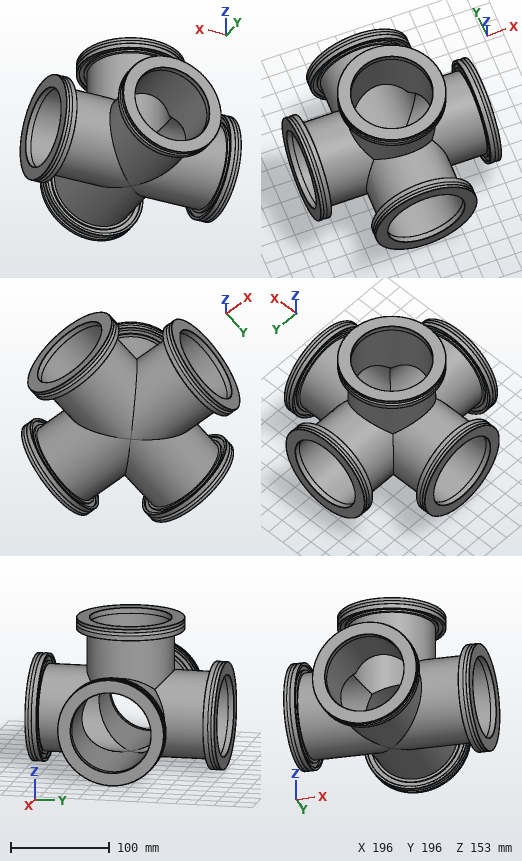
import cadquery as cq

SPAN = 196.0
REACH = SPAN / 2

TUBE_RADIUS = 44.5
TUBE_WALL = 3.0
BORE_RADIUS = TUBE_RADIUS - TUBE_WALL

FLANGE_DIAMETER = 110.0
FLANGE_RADIUS = FLANGE_DIAMETER / 2
FLANGE_THICKNESS = 12.0
SOCKET_DEPTH = FLANGE_THICKNESS / 2
EDGE_CHAMFER = 0.4

GROOVE_CENTRE = 5.0
GROOVE_RADIUS = 1.67

RELIEF_INNER_RADIUS = 47.5
RELIEF_OUTER_RADIUS = 52.1
RELIEF_DEPTH = 2.0

PORT_DIRECTIONS = [(1, 0, 0), (-1, 0, 0), (0, 1, 0), (0, -1, 0), (0, 0, 1)]

TUBE_REACH = REACH - FLANGE_THICKNESS + SOCKET_DEPTH


def cross_rods(radius, reach):
    """Two full-length crossed cylinders and one upward one, joined, all of one radius."""
    rod_x = cq.Workplane("YZ").circle(radius).extrude(reach, both=True)
    rod_y = cq.Workplane("XZ").circle(radius).extrude(reach, both=True)
    rod_z = cq.Workplane("XY").circle(radius).extrude(reach)
    return rod_x.union(rod_y).union(rod_z)


def make_manifold():
    """Five-way tube cross with mitred joints."""
    walls = cross_rods(TUBE_RADIUS, TUBE_REACH).cut(cross_rods(BORE_RADIUS, TUBE_REACH))
    return walls.solids()


def make_flange(direction):
    """Port ring with a rim groove, a tube socket and a relief groove in its back face."""
    front = REACH
    back = REACH - FLANGE_THICKNESS
    socket_floor = back + SOCKET_DEPTH
    relief_floor = back + RELIEF_DEPTH
    groove_middle = front - GROOVE_CENTRE
    groove_front = groove_middle + GROOVE_RADIUS
    groove_back = groove_middle - GROOVE_RADIUS
    side = (0, 1, 0) if direction[1] == 0 else (0, 0, 1)
    normal = cq.Vector(*side).cross(cq.Vector(*direction))
    plane = cq.Plane(origin=(0, 0, 0), xDir=side, normal=normal.toTuple())
    profile = (
        cq.Workplane(plane)
        .moveTo(BORE_RADIUS, socket_floor)
        .lineTo(TUBE_RADIUS, socket_floor)
        .lineTo(TUBE_RADIUS, back)
        .lineTo(RELIEF_INNER_RADIUS, back)
        .lineTo(RELIEF_INNER_RADIUS, relief_floor)
        .lineTo(RELIEF_OUTER_RADIUS, relief_floor)
        .lineTo(RELIEF_OUTER_RADIUS, back)
        .lineTo(FLANGE_RADIUS - EDGE_CHAMFER, back)
        .lineTo(FLANGE_RADIUS, back + EDGE_CHAMFER)
        .lineTo(FLANGE_RADIUS, groove_back)
        .threePointArc((FLANGE_RADIUS - GROOVE_RADIUS, groove_middle), (FLANGE_RADIUS, groove_front))
        .lineTo(FLANGE_RADIUS, front - EDGE_CHAMFER)
        .lineTo(FLANGE_RADIUS - EDGE_CHAMFER, front)
        .lineTo(BORE_RADIUS + EDGE_CHAMFER, front)
        .lineTo(BORE_RADIUS, front - EDGE_CHAMFER)
        .close()
    )
    return profile.revolve(360, (0, 0), (0, 1))


manifold = make_manifold()
flanges = [make_flange(direction) for direction in PORT_DIRECTIONS]

result = cq.Compound.makeCompound([manifold.val(), *[flange.val() for flange in flanges]])